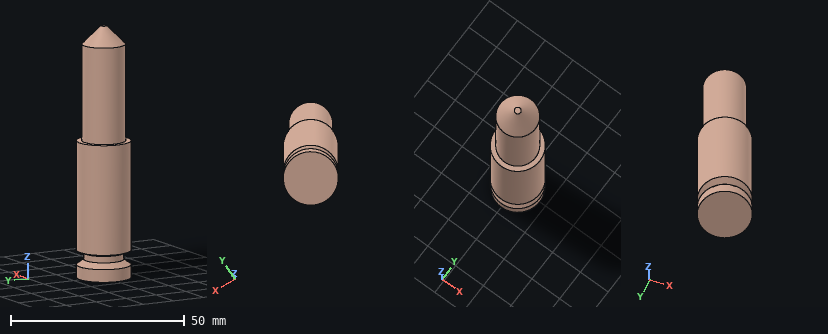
import cadquery as cq

body_diameter = 15.93
pin_diameter = 12.75
neck_diameter = 11.68
tip_diameter = 2.0

total_height = 74.04
head_top = 3.8
neck_bottom = 5.35
neck_top = 7.25
body_bottom = 8.0
body_top = 40.27

body_radius = body_diameter / 2
pin_radius = pin_diameter / 2
neck_radius = neck_diameter / 2
tip_radius = tip_diameter / 2

pin_top = total_height - (pin_radius - tip_radius)


def turned_pin():
    """Revolve the half profile, given as (radius, height), about the Z axis."""
    profile = [
        (0, 0),
        (body_radius, 0),
        (body_radius, head_top),
        (neck_radius, neck_bottom),
        (neck_radius, neck_top),
        (body_radius, body_bottom),
        (body_radius, body_top),
        (pin_radius, body_top),
        (pin_radius, pin_top),
        (tip_radius, total_height),
        (0, total_height),
    ]
    half_section = cq.Workplane("XZ").polyline(profile).close()
    return half_section.revolve(360, (0, 0, 0), (0, 1, 0))


result = turned_pin()